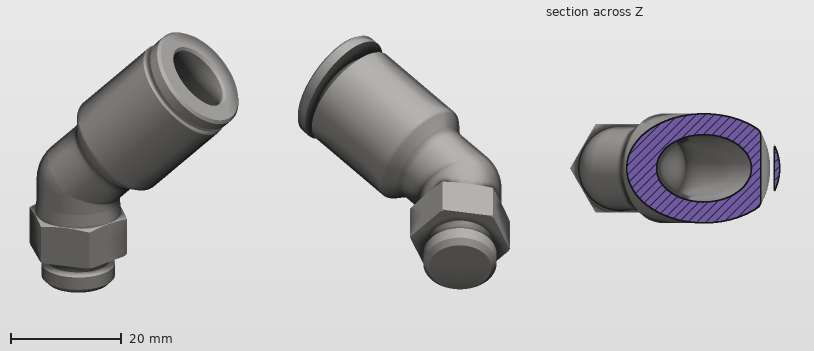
import cadquery as cq
import math

overall_height = 49.4

thread_radius = 6.6
thread_lead_in = 1.0
thread_shoulder_z = 3.4
neck_radius = 5.7
neck_bottom_z = 4.0
hex_bottom_z = 6.1
hex_top_z = 13.55
neck_flare_height = 0.65
neck_flare_growth = 0.2
hex_across_flats = 15.9
hex_bottom_chamfer = 0.25
hex_top_chamfer_angle = 15
collar_radius = 7.75
collar_top_z = 16.05

tube_radius = 7.5
branch_angle = 45

cone_start = 7.65
socket_start = 10.45
socket_end = 28.4
socket_radius = 9.9
socket_rim_chamfer = 0.25
cone_fillet = 1.0

collet_neck_radius = 7.05
flange_start = 30.1
flange_end = 32.35
flange_width = 22.5
flange_height = 19.35
flange_chamfer = 0.5

bore_radius = 6.05
bore_mouth_chamfer = 0.45
bore_bottom = socket_start

hex_corner_radius = hex_across_flats / math.sqrt(3)

tilt = math.radians(branch_angle)
flange_edge_rise = (flange_end - flange_chamfer) * math.cos(tilt) + flange_height / 2 * math.sin(tilt)
elbow_z = overall_height - flange_edge_rise


def revolve_outline(outer_points):
    """Revolve (radius, height) points about Z, closing the outline along the axis."""
    bottom = outer_points[0][1]
    top = outer_points[-1][1]
    outline = cq.Workplane("XZ").moveTo(0, bottom)
    for radius, height in outer_points:
        outline = outline.lineTo(radius, height)
    return outline.lineTo(0, top).close().revolve(360, (0, 0, 0), (0, 1, 0))


def make_threaded_end():
    flare_radius = neck_radius + neck_flare_growth
    return revolve_outline([
        (thread_radius - thread_lead_in, 0),
        (thread_radius, thread_lead_in),
        (thread_radius, thread_shoulder_z),
        (neck_radius, neck_bottom_z),
        (neck_radius, hex_bottom_z - neck_flare_height),
        (flare_radius, hex_bottom_z),
    ])


def make_hexagon():
    prism = (
        cq.Workplane("XY")
        .workplane(offset=hex_bottom_z)
        .polygon(6, 2 * hex_corner_radius)
        .extrude(hex_top_z - hex_bottom_z)
    )
    top_flat_radius = hex_across_flats / 2
    top_drop = (hex_corner_radius - top_flat_radius) * math.tan(math.radians(hex_top_chamfer_angle))
    blank = revolve_outline([
        (hex_corner_radius - hex_bottom_chamfer, hex_bottom_z),
        (hex_corner_radius, hex_bottom_z + hex_bottom_chamfer),
        (hex_corner_radius, hex_top_z - top_drop),
        (top_flat_radius, hex_top_z),
    ])
    return prism.intersect(blank)


def make_stem_tube():
    return revolve_outline([
        (collar_radius, hex_top_z),
        (tube_radius, collar_top_z),
        (tube_radius, elbow_z),
    ])


def make_socket():
    """Tube, cone and socket body along Z from the elbow point."""
    body = revolve_outline([
        (tube_radius, 0),
        (tube_radius, cone_start),
        (socket_radius, socket_start),
        (socket_radius, socket_end - socket_rim_chamfer),
        (socket_radius - socket_rim_chamfer, socket_end),
    ])
    for cone_edge_z in (cone_start, socket_start):
        nearest_edge = cq.selectors.NearestToPointSelector((0, 0, cone_edge_z))
        body = body.edges("%CIRCLE").edges(nearest_edge).fillet(cone_fillet)
    return body


def make_collet():
    neck = (
        cq.Workplane("XY")
        .workplane(offset=socket_end)
        .circle(collet_neck_radius)
        .extrude(flange_start - socket_end)
    )
    flange = (
        cq.Workplane("XY")
        .workplane(offset=flange_start)
        .ellipse(flange_height / 2, flange_width / 2)
        .extrude(flange_end - flange_start)
        .faces(">Z")
        .chamfer(flange_chamfer)
    )
    return neck.union(flange)


def make_bore():
    return revolve_outline([
        (bore_radius, bore_bottom),
        (bore_radius, flange_end - bore_mouth_chamfer),
        (bore_radius + bore_mouth_chamfer, flange_end),
    ])


def make_branch():
    """Branch tilted from the stem axis toward +X at the elbow."""
    upright = make_socket().union(make_collet()).cut(make_bore())
    return upright.rotate((0, 0, 0), (0, 1, 0), branch_angle).translate((0, 0, elbow_z))


elbow_ball = cq.Workplane("XY").sphere(tube_radius).translate((0, 0, elbow_z))

result = (
    make_threaded_end()
    .union(make_hexagon())
    .union(make_stem_tube())
    .union(elbow_ball)
    .union(make_branch())
)